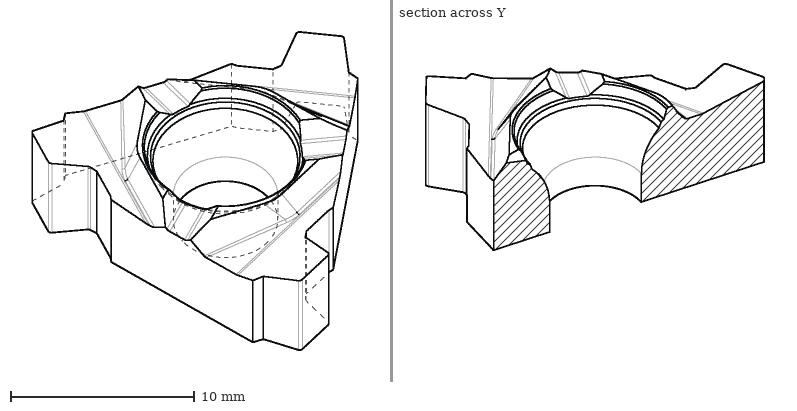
import cadquery as cq
import math

CORNERS = 3
CORNER_ANGLE = 360 / CORNERS
SIDE_LEAN = CORNER_ANGLE - 90

HEIGHT = 5.84
INSCRIBED_RADIUS = 6.35

TOOTH_CENTRE_X = -3.95
TOOTH_TIP_Y = -9.29
TOOTH_ROOT_Y = -7.16
TOOTH_TIP_HALF_WIDTH = 1.29
TOOTH_FLANK_ANGLE = 15
TOOTH_TIP_FILLET = 0.2
TOOTH_ROOT_FILLET = 0.2
SHOULDER_ANGLE = 30
SHELF_Y = -6.89
SHELF_ROOT_X = -1.65
SHELF_END_X = 0.33
SHELF_LIP_DROP = 0.08

RAKE_TIP_Z = 5.55
RAKE_START_Y = -5.73
RAKE_BLEND_HALF_WIDTH = 0.06

BREAKER_FLOOR_Z = 4.64
WALL_TOE_CORNER = (-1.06, -5.53)
WALL_CREST_CORNER = (-1.55, -4.64)
WALL_TOE_ANGLE = 20.8
WALL_CREST_ANGLE = 30
WALL_BEND_FILLET = 2.5
TOE_FILLET = 0.2

SLOT_FLOOR_Z = 5.08
SLOT_ANGLE = 15
SLOT_FLOOR_WIDTH = 1.2
SLOT_OFFSET = 0.1
SLOT_WALL_ANGLE = 50
SLOT_FLOOR_FILLET = 0.3

BORE_RADIUS = 5.7 / 2
SEAT_BOTTOM_Z = 1.95
SEAT_TOP_Z = 4.64
SEAT_TOP_RADIUS = 3.95
LIP_Z = 5.0
LIP_RADIUS = 4.08
RECESS_FLOOR_Z = 5.12
RECESS_FLOOR_RADIUS = 4.25
RECESS_RIM_CHAMFER = 0.1
RECESS_TOP_RADIUS = 4.52

CLEARANCE = 2.0
REACH = 9.0


def tangent(degrees):
    return math.tan(math.radians(degrees))


def rotated(point, degrees):
    turn = math.radians(degrees)
    x, y = point
    return (
        x * math.cos(turn) - y * math.sin(turn),
        x * math.sin(turn) + y * math.cos(turn),
    )


TIP_LEFT = (TOOTH_CENTRE_X - TOOTH_TIP_HALF_WIDTH, TOOTH_TIP_Y)
TIP_RIGHT = (TOOTH_CENTRE_X + TOOTH_TIP_HALF_WIDTH, TOOTH_TIP_Y)
TOOTH_FLANK_WIDTH = (TOOTH_ROOT_Y - TOOTH_TIP_Y) * tangent(TOOTH_FLANK_ANGLE)
ROOT_LEFT = (TIP_LEFT[0] - TOOTH_FLANK_WIDTH, TOOTH_ROOT_Y)
ROOT_RIGHT = (TIP_RIGHT[0] + TOOTH_FLANK_WIDTH, TOOTH_ROOT_Y)


def corner_outline():
    """Outline of one corner, from its left side face round the tooth to the next side face."""
    shoulder_y = TOOTH_ROOT_Y + (ROOT_LEFT[0] + INSCRIBED_RADIUS) * tangent(SHOULDER_ANGLE)
    lip_y = SHELF_Y - SHELF_LIP_DROP
    lip_x = INSCRIBED_RADIUS / math.sin(math.radians(SIDE_LEAN)) + lip_y / tangent(SIDE_LEAN)
    return [
        (-INSCRIBED_RADIUS, shoulder_y),
        ROOT_LEFT,
        TIP_LEFT,
        TIP_RIGHT,
        ROOT_RIGHT,
        (SHELF_ROOT_X, SHELF_Y),
        (SHELF_END_X, SHELF_Y),
        (lip_x, lip_y),
    ]


def make_body():
    outline = []
    for i in range(CORNERS):
        outline += [rotated(point, i * CORNER_ANGLE) for point in corner_outline()]
    body = cq.Workplane("XY").polyline(outline).close().extrude(HEIGHT)
    rounded_edges = [
        (TIP_LEFT, TOOTH_TIP_FILLET),
        (TIP_RIGHT, TOOTH_TIP_FILLET),
        (ROOT_RIGHT, TOOTH_ROOT_FILLET),
    ]
    for i in range(CORNERS):
        for point, radius in rounded_edges:
            x, y = rotated(point, i * CORNER_ANGLE)
            edge = cq.selectors.NearestToPointSelector((x, y, HEIGHT / 2))
            body = body.edges(edge).fillet(radius)
    return body


def rake_cutter():
    """Wedge that leaves the tooth top rising, by way of a small blend, from the breaker floor to the tip."""
    slope = (RAKE_TIP_Z - BREAKER_FLOOR_Z) / (RAKE_START_Y - TOOTH_TIP_Y)
    outer_y = TOOTH_TIP_Y - CLEARANCE
    outer_z = RAKE_TIP_Z + CLEARANCE * slope
    top_z = HEIGHT + CLEARANCE
    blend_start_y = RAKE_START_Y + RAKE_BLEND_HALF_WIDTH
    rake_angle = math.atan(slope)
    blend_radius = RAKE_BLEND_HALF_WIDTH / math.tan(rake_angle / 2)

    def blend_point(angle):
        return (
            blend_start_y - blend_radius * math.sin(angle),
            BREAKER_FLOOR_Z + blend_radius * (1 - math.cos(angle)),
        )

    return (
        cq.Workplane("YZ")
        .moveTo(blend_start_y, top_z)
        .lineTo(blend_start_y, BREAKER_FLOOR_Z)
        .threePointArc(blend_point(rake_angle / 2), blend_point(rake_angle))
        .lineTo(outer_y, outer_z)
        .lineTo(outer_y, top_z)
        .close()
        .extrude(REACH, both=True)
    )


def breaker_section(bend, angle):
    """Plan section of the breaker at one height, bounded by the wall and the start of the rake face."""
    bend_x, bend_y = bend
    blend_y = RAKE_START_Y + RAKE_BLEND_HALF_WIDTH
    left_y = bend_y + (bend_x + REACH) * tangent(angle)
    return [
        (-REACH, left_y),
        bend,
        (REACH, bend_y),
        (REACH, blend_y),
        (-REACH, blend_y),
    ]


def breaker_cutter():
    toe = breaker_section(WALL_TOE_CORNER, WALL_TOE_ANGLE)
    crest = breaker_section(WALL_CREST_CORNER, WALL_CREST_ANGLE)
    cutter = (
        cq.Workplane("XY", origin=(0, 0, BREAKER_FLOOR_Z))
        .polyline(toe)
        .close()
        .workplane(offset=HEIGHT - BREAKER_FLOOR_Z)
        .polyline(crest)
        .close()
        .loft(ruled=True)
    )
    bend_x = (WALL_TOE_CORNER[0] + WALL_CREST_CORNER[0]) / 2
    bend_y = (WALL_TOE_CORNER[1] + WALL_CREST_CORNER[1]) / 2
    bend_z = (BREAKER_FLOOR_Z + HEIGHT) / 2
    bend_edge = cq.selectors.NearestToPointSelector((bend_x, bend_y, bend_z))
    cutter = cutter.edges(bend_edge).fillet(WALL_BEND_FILLET)
    floor_y = (WALL_TOE_CORNER[1] + RAKE_START_Y) / 2
    toe_edges = cq.selectors.BoxSelector(
        (-REACH - CLEARANCE, floor_y, BREAKER_FLOOR_Z - TOE_FILLET),
        (REACH + CLEARANCE, 0, BREAKER_FLOOR_Z + TOE_FILLET),
    )
    return cutter.edges(toe_edges).fillet(TOE_FILLET)


def slot_cutter():
    """Trapezoidal slot running from the bore out through the left side face."""
    depth = HEIGHT + CLEARANCE - SLOT_FLOOR_Z
    floor_half_width = SLOT_FLOOR_WIDTH / 2
    top_half_width = floor_half_width + depth * tangent(SLOT_WALL_ANGLE)
    profile = [
        (SLOT_OFFSET - floor_half_width, SLOT_FLOOR_Z),
        (SLOT_OFFSET + floor_half_width, SLOT_FLOOR_Z),
        (SLOT_OFFSET + top_half_width, SLOT_FLOOR_Z + depth),
        (SLOT_OFFSET - top_half_width, SLOT_FLOOR_Z + depth),
    ]
    slot = cq.Workplane("YZ").polyline(profile).close().extrude(-REACH)
    slot = slot.edges("|X").edges("<Z").fillet(SLOT_FLOOR_FILLET)
    return slot.rotate((0, 0, 0), (0, 0, 1), SLOT_ANGLE)


def bore_cutter():
    """Bore, screw seat as an arc tangent to the bore, and conical recess at the top."""
    flare = SEAT_TOP_RADIUS - BORE_RADIUS
    seat_height = SEAT_TOP_Z - SEAT_BOTTOM_Z
    seat_radius = (flare**2 + seat_height**2) / (2 * flare)
    mid_angle = math.asin(seat_height / seat_radius) / 2
    seat_middle = (
        BORE_RADIUS + seat_radius * (1 - math.cos(mid_angle)),
        SEAT_BOTTOM_Z + seat_radius * math.sin(mid_angle),
    )
    return (
        cq.Workplane("XZ")
        .lineTo(BORE_RADIUS, 0)
        .lineTo(BORE_RADIUS, SEAT_BOTTOM_Z)
        .threePointArc(seat_middle, (SEAT_TOP_RADIUS, SEAT_TOP_Z))
        .lineTo(LIP_RADIUS, LIP_Z)
        .lineTo(RECESS_FLOOR_RADIUS, RECESS_FLOOR_Z)
        .lineTo(RECESS_TOP_RADIUS - RECESS_RIM_CHAMFER, HEIGHT - RECESS_RIM_CHAMFER)
        .lineTo(RECESS_TOP_RADIUS, HEIGHT)
        .lineTo(0, HEIGHT)
        .close()
        .revolve(360, (0, 0, 0), (0, 1, 0))
    )


result = make_body()
for cutter in (rake_cutter(), breaker_cutter(), slot_cutter()):
    for i in range(CORNERS):
        result = result.cut(cutter.rotate((0, 0, 0), (0, 0, 1), i * CORNER_ANGLE))
result = result.cut(bore_cutter())